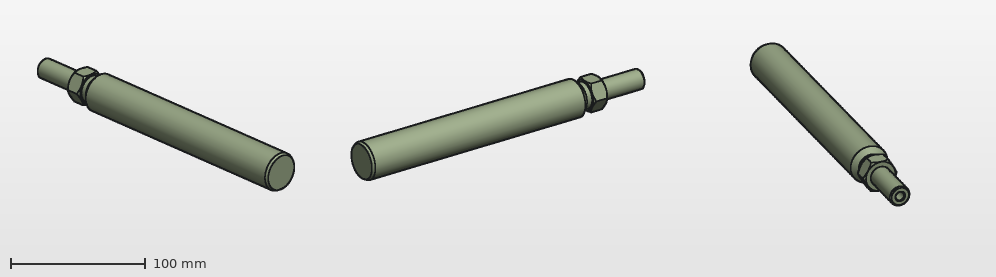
import cadquery as cq
import math

total_length = 249.0
nut_start = 36.9
nut_length = 12.7
cone_start = 54.0

rod_diameter = 16.0
rod_chamfer = 1.0
neck_diameter = 21.0
body_diameter = 30.0
end_chamfer_length = 2.2
end_chamfer_depth = 1.2

nut_flats = 24.0
nut_corners = nut_flats / math.cos(math.pi / 6)
nut_face_diameter = 23.7
nut_chamfer_angle = 40.0

bore_diameter = 6.7
bore_mouth_diameter = 8.0
bore_depth = 20.0
drill_point_angle = 118.0


def revolve_about_x(points):
    """Turn a closed (x, radius) outline around the X axis."""
    return cq.Workplane("XY").polyline(points).close().revolve(360, (0, 0, 0), (1, 0, 0))


def make_shaft():
    """Rod, neck, conical shoulder and cylindrical body."""
    rod_radius = rod_diameter / 2
    neck_radius = neck_diameter / 2
    body_radius = body_diameter / 2
    body_start = cone_start + body_radius - neck_radius
    return revolve_about_x([
        (0, 0),
        (0, rod_radius - rod_chamfer),
        (rod_chamfer, rod_radius),
        (nut_start, rod_radius),
        (nut_start, neck_radius),
        (cone_start, neck_radius),
        (body_start, body_radius),
        (total_length - end_chamfer_length, body_radius),
        (total_length, body_radius - end_chamfer_depth),
        (total_length, 0),
    ])


def make_nut():
    """Hexagonal prism with its corners turned off conically at both ends."""
    nut_end = nut_start + nut_length
    face_radius = nut_face_diameter / 2
    corner_radius = nut_corners / 2
    chamfer_length = (corner_radius - face_radius) * math.tan(math.radians(nut_chamfer_angle))
    prism = cq.Workplane("YZ", origin=(nut_start, 0, 0)).polygon(6, nut_corners).extrude(nut_length)
    envelope = revolve_about_x([
        (nut_start, 0),
        (nut_start, face_radius),
        (nut_start + chamfer_length, corner_radius),
        (nut_end - chamfer_length, corner_radius),
        (nut_end, face_radius),
        (nut_end, 0),
    ])
    return prism.intersect(envelope)


def make_bore():
    """Blind hole with a countersunk mouth and a conical drill point."""
    bore_radius = bore_diameter / 2
    mouth_radius = bore_mouth_diameter / 2
    point_length = bore_radius / math.tan(math.radians(drill_point_angle / 2))
    return revolve_about_x([
        (0, 0),
        (0, mouth_radius),
        (mouth_radius - bore_radius, bore_radius),
        (bore_depth, bore_radius),
        (bore_depth + point_length, 0),
    ])


result = make_shaft().union(make_nut()).cut(make_bore())